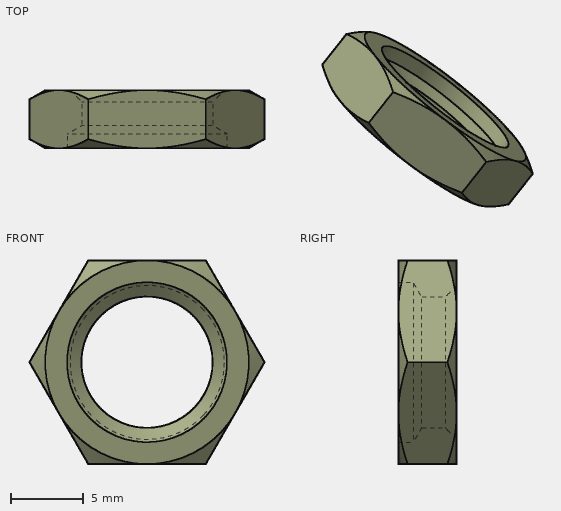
import cadquery as cq
import math

across_corners = 16.17
thickness = 4.0
bore_diameter = 9.0
counterbore_diameter = 11.0
counterbore_depth = 1.0
shoulder_angle = 30.0
rear_chamfer = 0.8
corner_chamfer_angle = 30.0

across_flats = across_corners * math.cos(math.radians(30))
half_thickness = thickness / 2
corner_radius = across_corners / 2
face_radius = across_flats / 2
chamfer_depth = (corner_radius - face_radius) * math.tan(math.radians(corner_chamfer_angle))
bore_radius = bore_diameter / 2
counterbore_radius = counterbore_diameter / 2
shoulder_depth = (counterbore_radius - bore_radius) * math.tan(math.radians(shoulder_angle))
counterbore_floor = -half_thickness + counterbore_depth


def revolve_about_y(profile):
    """Revolve (radius, y) points about the nut axis."""
    return cq.Workplane("XY").polyline(profile).close().revolve(360, (0, 0, 0), (0, 1, 0))


hexagon = cq.Workplane("XZ").polygon(6, across_corners).extrude(half_thickness, both=True)

envelope = revolve_about_y([
    (bore_radius, counterbore_floor + shoulder_depth),
    (counterbore_radius, counterbore_floor),
    (counterbore_radius, -half_thickness),
    (face_radius, -half_thickness),
    (corner_radius, -half_thickness + chamfer_depth),
    (corner_radius, half_thickness - chamfer_depth),
    (face_radius, half_thickness),
    (bore_radius + rear_chamfer, half_thickness),
    (bore_radius, half_thickness - rear_chamfer),
])

result = hexagon.intersect(envelope)